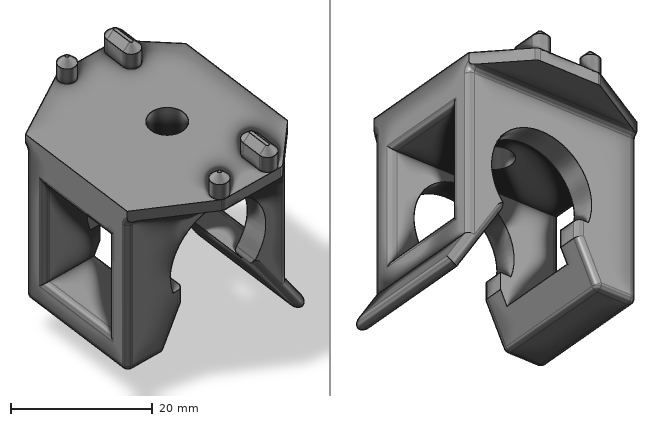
import cadquery as cq
import math


plate_width = 36.0
plate_thickness = 2.0
plate_side_front = -5.0
plate_side_back = 6.0
screw_hole_diameter = 6.0

body_width = 22.0
body_front = -17.0
body_back = 13.0
body_bottom = -30.45
edge_radius = 1.0

seat_radius = 8.93
seat_height = -17.1
catch_top = -20.2
catch_tip = -6.5
catch_slope_top = -23.05
catch_slope_end = -10.05

flap_tip = (15.3, -35.4)
flap_root_angle = math.radians(-39)

window_width = 13.98
window_top = -7.05
window_bottom = -25.45

peg_radius = 1.5
peg_height = 4.0
peg_chamfer = 1.2
peg_offset = 4.5
long_peg_straight = 3.5

tolerance = 0.005

half_body = body_width / 2
half_plate = plate_width / 2
stock_bottom = flap_tip[1] - edge_radius

flap_root_distance = seat_radius + edge_radius
flap_root = (
    flap_root_distance * math.cos(flap_root_angle),
    seat_height + flap_root_distance * math.sin(flap_root_angle),
)
flap_run = flap_tip[0] - flap_root[0]
flap_drop = flap_root[1] - flap_tip[1]
flap_length = math.hypot(flap_run, flap_drop)


def make_plate_outline():
    """Tall octagonal prism with rounded side corners; it trims everything to the plate outline."""
    outline = [
        (half_body, body_front),
        (half_plate, plate_side_front),
        (half_plate, plate_side_back),
        (half_body, body_back),
    ]
    outline += [(-x, y) for x, y in reversed(outline)]
    prism = cq.Workplane("XY").polyline(outline).close().extrude(stock_bottom)
    return prism.edges("|Z and (>X or <X)").fillet(edge_radius)


def make_cross_section():
    """Plate and body as one T, with concave rounds where the body meets the plate."""
    top = -plate_thickness
    cove = top - edge_radius
    bend = edge_radius * (1 - math.sqrt(0.5))
    return (
        cq.Workplane("XZ", origin=(0, body_back, 0))
        .moveTo(-half_plate, 0)
        .lineTo(half_plate, 0)
        .lineTo(half_plate, top)
        .lineTo(half_body + edge_radius, top)
        .threePointArc((half_body + bend, top - bend), (half_body, cove))
        .lineTo(half_body, stock_bottom)
        .lineTo(-half_body, stock_bottom)
        .lineTo(-half_body, cove)
        .threePointArc((-half_body - bend, top - bend), (-half_body - edge_radius, top))
        .lineTo(-half_plate, top)
        .close()
        .extrude(body_back - body_front)
    )


def make_side_outline():
    """Side outline extruded across the width; its back end stops on the flap's middle plane."""
    catch_on_seat = -math.sqrt(seat_radius**2 - (seat_height - catch_top) ** 2)
    seat_end = (
        seat_radius * math.cos(flap_root_angle),
        seat_height + seat_radius * math.sin(flap_root_angle),
    )
    flap_at_back = flap_root[1] - (body_back - flap_root[0]) * flap_drop / flap_run
    return (
        cq.Workplane("YZ", origin=(-half_plate, 0, 0))
        .moveTo(body_front, 0)
        .lineTo(body_front, body_bottom)
        .lineTo(catch_slope_end, body_bottom)
        .lineTo(catch_tip, catch_slope_top)
        .lineTo(catch_tip, catch_top)
        .lineTo(catch_on_seat, catch_top)
        .threePointArc((0, seat_height + seat_radius), seat_end)
        .lineTo(*flap_root)
        .lineTo(body_back, flap_at_back)
        .lineTo(body_back, 0)
        .close()
        .extrude(plate_width)
    )


def is_rounded_edge(edge):
    """Front and back edges of the T below its top, and the edges of the catch and underside."""
    centre = edge.Center()
    box = edge.BoundingBox()
    front_or_back = box.ymax < body_front + tolerance or box.ymin > body_back - tolerance
    if front_or_back:
        on_plate_rim = abs(centre.x) > half_plate - tolerance or centre.z > -tolerance
        on_flap = centre.y > 0 and box.xlen > body_width - tolerance
        return not (on_plate_rim or on_flap)
    on_body_side = abs(abs(centre.x) - half_body) < tolerance
    below_catch_top = box.zmax < catch_top + tolerance and centre.z < catch_top - tolerance
    catch_side = on_body_side and centre.y < catch_tip + tolerance and below_catch_top
    underside_bend = box.zmax < body_bottom + tolerance and centre.y < catch_tip
    return catch_side or underside_bend


def make_flap():
    """Strip with round long edges, crossed with a strip profile that has round ends."""
    side_profile = (
        cq.Workplane("YZ", origin=(-half_body, 0, 0))
        .center((flap_root[0] + flap_tip[0]) / 2, (flap_root[1] + flap_tip[1]) / 2)
        .slot2D(flap_length + 2 * edge_radius, 2 * edge_radius,
                math.degrees(math.atan2(-flap_drop, flap_run)))
        .extrude(body_width)
    )
    along_flap = cq.Plane(
        origin=(0, *flap_root),
        xDir=(1, 0, 0),
        normal=(0, flap_run, -flap_drop),
    )
    cross_section = (
        cq.Workplane(along_flap)
        .workplane(offset=-edge_radius)
        .slot2D(body_width, 2 * edge_radius)
        .extrude(flap_length + 2 * edge_radius)
    )
    return side_profile.intersect(cross_section)


def cut_window(part):
    """Opening through the front and back walls, with a rounded rim on both outer faces."""
    window = (
        cq.Workplane("XZ", origin=(0, flap_tip[0], (window_top + window_bottom) / 2))
        .rect(window_width, window_top - window_bottom)
        .extrude(flap_tip[0] - body_front)
    )
    part = part.cut(window)
    for face_y in (body_front, body_back):
        rim = cq.selectors.BoxSelector(
            (-window_width / 2 - tolerance, face_y - tolerance, window_bottom - tolerance),
            (window_width / 2 + tolerance, face_y + tolerance, window_top + tolerance),
        )
        part = part.edges(rim).fillet(edge_radius)
    return part


def cut_screw_hole(part):
    hole = cq.Workplane("XY").circle(screw_hole_diameter / 2).extrude(window_top)
    return part.cut(hole)


def add_pegs(part):
    """A round peg and a long peg with chamfered tops near each side of the plate."""
    outer_x = half_plate - peg_radius
    for side in (-1, 1):
        round_peg = (
            cq.Workplane("XY")
            .center(side * outer_x, -peg_offset)
            .circle(peg_radius)
            .extrude(peg_height)
        )
        long_peg = (
            cq.Workplane("XY")
            .center(side * (outer_x - long_peg_straight / 2), peg_offset)
            .slot2D(long_peg_straight + 2 * peg_radius, 2 * peg_radius)
            .extrude(peg_height)
        )
        for peg in (round_peg, long_peg):
            part = part.union(peg.faces(">Z").chamfer(peg_chamfer))
    return part


def make_frame():
    """Plate and body with every rounded edge, before the flap and the openings."""
    blank = make_cross_section().intersect(make_side_outline())
    rounded_edges = [edge for edge in blank.edges().vals() if is_rounded_edge(edge)]
    rounded = blank.newObject(rounded_edges).fillet(edge_radius)
    return rounded.intersect(make_plate_outline())


clip = make_frame().union(make_flap())
clip = cut_window(clip)
clip = cut_screw_hole(clip)
result = add_pegs(clip)